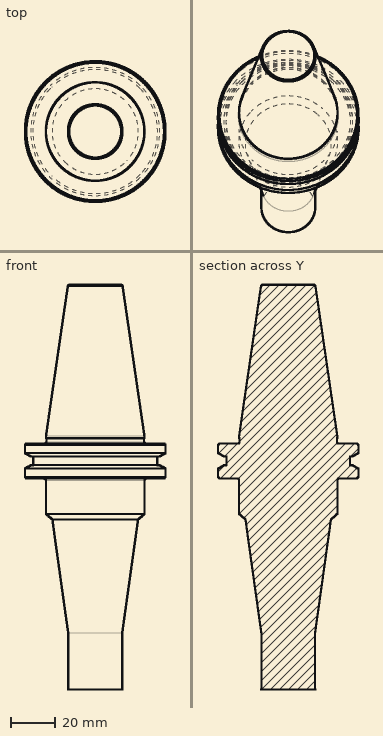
import cadquery as cq
import math

TOTAL_LENGTH = 182.25
TAPER_LENGTH = 68.25
TAPER_RATIO = 7 / 24
GAUGE_DIAMETER = 44.45
TAPER_END_CHAMFER = 0.6

GAUGE_LAND = 0.8
NECK_DIAMETER = 44.0
NECK_FILLET = 0.6

FLANGE_DIAMETER = 63.5
FLANGE_TOP_Z = -3.2
FLANGE_BOTTOM_Z = -19.1
FLANGE_TOP_CHAMFER = 0.8
FLANGE_BOTTOM_CHAMFER = 0.8
GROOVE_DIAMETER = 56.0
GROOVE_CENTRE_Z = -11.1
GROOVE_MOUTH_WIDTH = 7.0
GROOVE_FLOOR_WIDTH = 3.8
GROOVE_FLANK_ANGLE = 30.0

COLLAR_DIAMETER = 44.45
COLLAR_FILLET = 0.8
COLLAR_BOTTOM_Z = -35.0
SHOULDER_HEIGHT = 2.5
CONE_TOP_DIAMETER = 38.7
SHANK_DIAMETER = 24.4
SHANK_LENGTH = 25.4

BOTTOM_Z = TAPER_LENGTH - TOTAL_LENGTH
CORNER_TOLERANCE = 0.01


def taper_profile():
    """Half outline of the steep taper and its relief neck, from the top down."""
    end_radius = (GAUGE_DIAMETER - TAPER_RATIO * TAPER_LENGTH) / 2
    chamfer_base_z = TAPER_LENGTH - TAPER_END_CHAMFER
    chamfer_base_radius = end_radius + TAPER_RATIO * TAPER_END_CHAMFER / 2
    gauge_radius = GAUGE_DIAMETER / 2
    neck_radius = NECK_DIAMETER / 2
    neck_top_z = -GAUGE_LAND - (gauge_radius - neck_radius)
    return [
        (0, TAPER_LENGTH),
        (end_radius - TAPER_END_CHAMFER, TAPER_LENGTH),
        (chamfer_base_radius, chamfer_base_z),
        (gauge_radius, 0),
        (gauge_radius, -GAUGE_LAND),
        (neck_radius, neck_top_z),
        (neck_radius, FLANGE_TOP_Z),
    ]


def flange_profile():
    """Half outline of the chamfered flange and its V groove, from the top down."""
    rim_radius = FLANGE_DIAMETER / 2
    floor_radius = GROOVE_DIAMETER / 2
    half_mouth = GROOVE_MOUTH_WIDTH / 2
    half_floor = GROOVE_FLOOR_WIDTH / 2
    flank_depth = (half_mouth - half_floor) / math.tan(math.radians(GROOVE_FLANK_ANGLE))
    ledge_radius = rim_radius - flank_depth
    return [
        (rim_radius - FLANGE_TOP_CHAMFER, FLANGE_TOP_Z),
        (rim_radius, FLANGE_TOP_Z - FLANGE_TOP_CHAMFER),
        (rim_radius, GROOVE_CENTRE_Z + half_mouth),
        (ledge_radius, GROOVE_CENTRE_Z + half_floor),
        (floor_radius, GROOVE_CENTRE_Z + half_floor),
        (floor_radius, GROOVE_CENTRE_Z - half_floor),
        (ledge_radius, GROOVE_CENTRE_Z - half_floor),
        (rim_radius, GROOVE_CENTRE_Z - half_mouth),
        (rim_radius, FLANGE_BOTTOM_Z + FLANGE_BOTTOM_CHAMFER),
        (rim_radius - FLANGE_BOTTOM_CHAMFER, FLANGE_BOTTOM_Z),
    ]


def nose_profile():
    """Half outline of the collar, cone and shank, from the top down."""
    collar_radius = COLLAR_DIAMETER / 2
    shank_radius = SHANK_DIAMETER / 2
    return [
        (collar_radius, FLANGE_BOTTOM_Z),
        (collar_radius, COLLAR_BOTTOM_Z),
        (CONE_TOP_DIAMETER / 2, COLLAR_BOTTOM_Z - SHOULDER_HEIGHT),
        (shank_radius, BOTTOM_Z + SHANK_LENGTH),
        (shank_radius, BOTTOM_Z),
        (0, BOTTOM_Z),
    ]


def fillet_corner_ring(body, diameter, z, fillet_radius):
    """Round the circular corner of the given diameter at height z."""
    reach = diameter / 2 + CORNER_TOLERANCE
    corner_box = cq.selectors.BoxSelector(
        (-reach, -reach, z - CORNER_TOLERANCE),
        (reach, reach, z + CORNER_TOLERANCE),
        boundingbox=True,
    )
    return body.edges(corner_box).fillet(fillet_radius)


half_outline = taper_profile() + flange_profile() + nose_profile()
holder = cq.Workplane("XZ").polyline(half_outline).close().revolve(360, (0, 0, 0), (0, 1, 0))
holder = fillet_corner_ring(holder, NECK_DIAMETER, FLANGE_TOP_Z, NECK_FILLET)
result = fillet_corner_ring(holder, COLLAR_DIAMETER, FLANGE_BOTTOM_Z, COLLAR_FILLET)